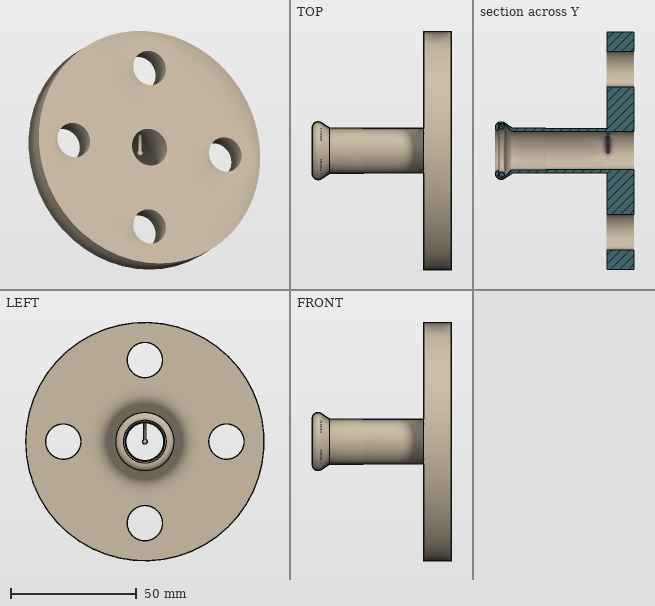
import cadquery as cq
import math

total_length = 55.5
flange_diameter = 95.0
flange_thickness = 11.0
flange_face_x = total_length - flange_thickness

bolt_hole_diameter = 14.0
bolt_circle_diameter = 65.0
bolt_hole_count = 4

socket_diameter = 18.1
pipe_diameter = 18.0
step_start_x = 19.8
step_end_x = 20.7
socket_bore_diameter = 15.2
pipe_bore_diameter = 15.0

bead_diameter = 23.2
mouth_face_diameter = 18.3
bead_arc_end_x = 4.0
bead_end_x = 6.9
mouth_diameter = 17.1
bead_center_radius = mouth_face_diameter / 2
bead_roll_radius = bead_diameter / 2 - bead_center_radius

seal_section_diameter = 2.3
seal_inner_diameter = 16.9
seal_center_radius = (seal_inner_diameter + seal_section_diameter) / 2
seat_front_x = 1.5
seat_diameter = seal_inner_diameter + 2 * seal_section_diameter
seal_center_x = seat_front_x + seal_section_diameter / 2

seat_back_x = 3.6

throat_diameter = 15.8
throat_start_x = 1.1
throat_end_x = 6.2
throat_taper_end_x = 7.1

marker_diameter = 2.0
marker_arm_width = 0.95
marker_thickness = 0.95
marker_x = flange_face_x
arm_embed = 0.5


def x_cylinder(diameter, start_x, end_x, y=0.0, z=0.0):
    """Solid cylinder parallel to X."""
    plane = cq.Workplane("YZ", origin=(start_x, y, z))
    return plane.circle(diameter / 2).extrude(end_x - start_x)


def make_seal():
    """O-ring around the X axis."""
    section = cq.Workplane("XY").center(seal_center_x, seal_center_radius)
    axis_start = (0, -seal_center_radius, 0)
    axis_end = (1, -seal_center_radius, 0)
    return section.circle(seal_section_diameter / 2).revolve(360, axis_start, axis_end)


def make_tube():
    """Beaded socket and pipe, with the seat of the O-ring and the stepped bore."""
    arc_offset = bead_arc_end_x - bead_roll_radius
    arc_end_radius = bead_center_radius + math.sqrt(bead_roll_radius**2 - arc_offset**2)
    profile = (
        cq.Workplane("XY")
        .moveTo(0, mouth_diameter / 2)
        .lineTo(0, bead_center_radius)
        .threePointArc(
            (bead_roll_radius, bead_diameter / 2),
            (bead_arc_end_x, arc_end_radius),
        )
        .lineTo(bead_end_x, socket_diameter / 2)
        .lineTo(step_start_x, socket_diameter / 2)
        .lineTo(step_end_x, pipe_diameter / 2)
        .lineTo(total_length, pipe_diameter / 2)
        .lineTo(total_length, pipe_bore_diameter / 2)
        .lineTo(step_end_x, pipe_bore_diameter / 2)
        .lineTo(step_start_x, socket_bore_diameter / 2)
        .lineTo(throat_taper_end_x, socket_bore_diameter / 2)
        .lineTo(throat_end_x, throat_diameter / 2)
        .lineTo(seat_back_x, seat_diameter / 2)
        .lineTo(seat_front_x, seat_diameter / 2)
        .lineTo(seat_front_x, throat_diameter / 2)
        .lineTo(throat_start_x, throat_diameter / 2)
        .close()
    )
    return profile.revolve(360, (0, 0, 0), (1, 0, 0))


def make_flange():
    """Flange disc with its bolt holes and a bore for the pipe."""
    flange = x_cylinder(flange_diameter, flange_face_x, total_length)
    flange = flange.cut(x_cylinder(pipe_bore_diameter, flange_face_x, total_length))
    for index in range(bolt_hole_count):
        angle = 2 * math.pi * index / bolt_hole_count
        y = bolt_circle_diameter / 2 * math.cos(angle)
        z = bolt_circle_diameter / 2 * math.sin(angle)
        flange = flange.cut(x_cylinder(bolt_hole_diameter, flange_face_x, total_length, y, z))
    return flange


def make_marker():
    """Round marker on the axis with an arm up to the bore wall."""
    disc = x_cylinder(marker_diameter, marker_x, marker_x + marker_thickness)
    arm_length = pipe_bore_diameter / 2 + arm_embed
    arm = cq.Workplane("XY", origin=(marker_x, 0, 0)).box(
        marker_thickness, marker_arm_width, arm_length, centered=(False, True, False)
    )
    return disc.union(arm)


fitting = make_tube().union(make_flange()).union(make_marker())
seal = make_seal()

result = cq.Compound.makeCompound([fitting.val(), seal.val()])